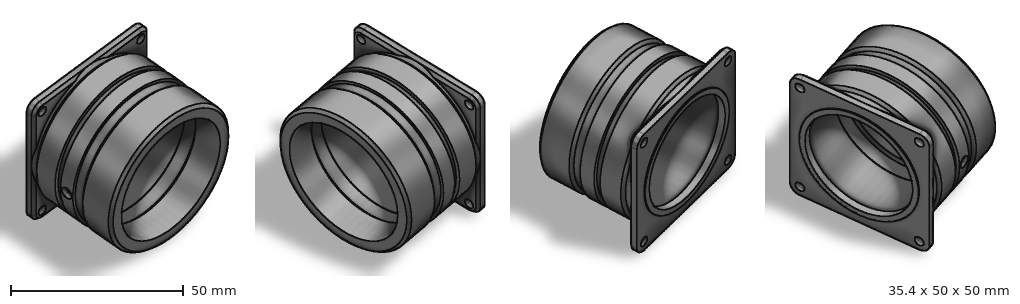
import cadquery as cq

flange_front = 0.4
flange_edge_end = 2.4
flange_back = 3.4
collar_start = 4.5
groove_start = 12.9
groove_end = 15.1
band_end = 20.1
rear_start = 23.1
total_length = 35.4

outer_radius = 25.0
neck_radius = 24.0
groove_radius = 23.65
lip_radius = 20.5
outer_chamfer = outer_radius - neck_radius

mouth_radius = 18.5
front_bore_radius = 21.6
middle_bore_radius = 21.45
rear_bore_radius = 20.55
mouth_depth = 2.4
rear_taper_start = 24.6
rear_taper_end = rear_taper_start + middle_bore_radius - rear_bore_radius

flange_side = 48.0
corner_radius = 3.5
flange_chamfer = flange_back - flange_edge_end
screw_spacing = flange_side - 2 * corner_radius
screw_hole_diameter = 3.2

cone_top_radius = 2.0
pilot_radius = 0.85
cone_depth = cone_top_radius - pilot_radius
cone_x = (groove_end + band_end) / 2


def make_barrel():
    profile = [
        (0, 0),
        (0, lip_radius),
        (flange_front, lip_radius),
        (flange_front, neck_radius),
        (collar_start, neck_radius),
        (collar_start + outer_chamfer, outer_radius),
        (groove_start, outer_radius),
        (groove_start, groove_radius),
        (groove_end, groove_radius),
        (groove_end, outer_radius),
        (band_end, outer_radius),
        (band_end, neck_radius),
        (rear_start, neck_radius),
        (rear_start + outer_chamfer, outer_radius),
        (total_length - outer_chamfer, outer_radius),
        (total_length, outer_radius - outer_chamfer),
        (total_length, 0),
    ]
    return cq.Workplane("XY").polyline(profile).close().revolve(360, (0, 0, 0), (1, 0, 0))


def make_flange():
    plate = (
        cq.Workplane("YZ")
        .workplane(offset=flange_front)
        .rect(flange_side, flange_side)
        .extrude(flange_back - flange_front)
        .edges("|X")
        .fillet(corner_radius)
    )
    return plate.faces(">X").chamfer(flange_chamfer)


def make_screw_holes():
    return (
        cq.Workplane("YZ")
        .rect(screw_spacing, screw_spacing, forConstruction=True)
        .vertices()
        .circle(screw_hole_diameter / 2)
        .extrude(flange_back)
    )


def make_bore():
    profile = [
        (0, 0),
        (0, mouth_radius),
        (mouth_depth, mouth_radius),
        (mouth_depth, front_bore_radius),
        (band_end, front_bore_radius),
        (band_end, middle_bore_radius),
        (rear_taper_start, middle_bore_radius),
        (rear_taper_end, rear_bore_radius),
        (total_length, rear_bore_radius),
        (total_length, 0),
    ]
    return cq.Workplane("XY").polyline(profile).close().revolve(360, (0, 0, 0), (1, 0, 0))


def make_locating_hole():
    """Blind cone with a flat floor, sunk radially into the middle band."""
    cone = cq.Solid.makeCone(
        cone_top_radius,
        pilot_radius,
        cone_depth,
        pnt=cq.Vector(cone_x, -outer_radius, 0),
        dir=cq.Vector(0, 1, 0),
    )
    return cq.Workplane(obj=cone)


result = (
    make_barrel()
    .union(make_flange())
    .cut(make_screw_holes())
    .cut(make_bore())
    .cut(make_locating_hole())
)